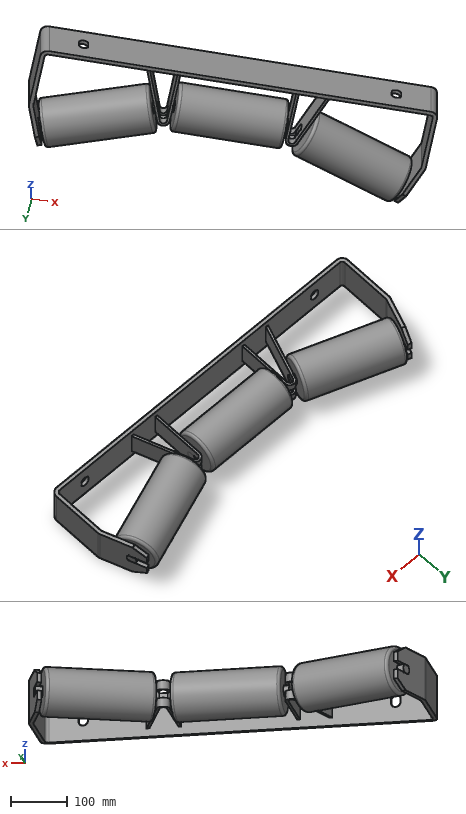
import cadquery as cq
import math

FRAME_LENGTH = 720.0
TILT = math.radians(20)

STRAP_WIDTH = 80.0
STRAP_THICKNESS = 8.0
STRAP_BEND = 14.0
LEAN_HEIGHT = 122.5
LEAN_LENGTH = 96.0
TIP_CHAMFER_LENGTH = 28.0
TIP_CHAMFER_WIDTH = 15.0

MOUNT_SLOT_OFFSET = 284.0
MOUNT_SLOT_WIDTH = 17.0
MOUNT_SLOT_LENGTH = 24.0

BRACKET_WIDTH = 50.0
BRACKET_THICKNESS = 5.0
BRACKET_BEND = 11.5

ROLLER_DIAMETER = 89.0
ROLLER_LENGTH = 200.0
ROLLER_EDGE_RADIUS = 6.0
SHAFT_DIAMETER = 20.0
SHAFT_FLAT_WIDTH = 16.0
SHAFT_SHOULDER = 2.0
SIDE_SHAFT_POSITION = 65.5
MIDDLE_ROLLER_Y = 101.0
STRAP_CLEARANCE = 6.0
BRACKET_CLEARANCE = 5.0

SIDE_ROLLER_START = STRAP_THICKNESS + STRAP_CLEARANCE
LEANING_LEG = SIDE_ROLLER_START + ROLLER_LENGTH + BRACKET_CLEARANCE
SIDE_SHAFT_LENGTH = LEANING_LEG + BRACKET_THICKNESS

UPRIGHT_LEG = ROLLER_LENGTH / 2 + BRACKET_CLEARANCE
MIDDLE_SHAFT_LENGTH = 2 * (UPRIGHT_LEG + BRACKET_THICKNESS)

UP_LEAN = cq.Vector(math.sin(TILT), math.cos(TILT), 0)
ALONG_ROLLER = cq.Vector(math.cos(TILT), -math.sin(TILT), 0)
LEAN_START = cq.Vector(-FRAME_LENGTH / 2, LEAN_HEIGHT, 0)
SIDE_SHAFT_START = LEAN_START + UP_LEAN * SIDE_SHAFT_POSITION


def side_plane(station):
    """Workplane across the left side shaft: local X up the lean, Y along global Z, Z along the shaft."""
    return cq.Workplane(cq.Plane(SIDE_SHAFT_START + ALONG_ROLLER * station, UP_LEAN, ALONG_ROLLER))


def middle_plane(station):
    """Workplane across the middle shaft: local X along global Y, Y along global Z, Z along the shaft."""
    return cq.Workplane("YZ", origin=(station, MIDDLE_ROLLER_Y, 0))


def mirrored(left):
    return left.mirror("YZ")


def bent_strip(points, width, thickness, outside_radius):
    """Flat strip, centred on Z = 0, whose mid-thickness line follows the points with rounded bends."""
    path = cq.Wire.makePolygon(points)
    path = path.fillet(outside_radius - thickness / 2, path.Vertices()[1:-1])
    start_plane = cq.Plane(points[0], (0, 0, 1), points[1] - points[0])
    return cq.Workplane(start_plane).rect(width, thickness).sweep(cq.Workplane(obj=path))


def flatted_bar(start, length):
    """Round bar of the shaft's diameter with two flats facing +Z and -Z."""
    bar = start.circle(SHAFT_DIAMETER / 2).extrude(length)
    between_flats = start.rect(SHAFT_DIAMETER, SHAFT_FLAT_WIDTH).extrude(length)
    return bar.intersect(between_flats)


def roller(plane_at, drum_start, shaft_start, shaft_length):
    """Drum with rounded rims on a shaft whose two ends have flats; plane_at gives planes across its axis."""
    drum = plane_at(drum_start).circle(ROLLER_DIAMETER / 2).extrude(ROLLER_LENGTH)
    drum = drum.edges("%CIRCLE").fillet(ROLLER_EDGE_RADIUS)
    shaft = flatted_bar(plane_at(shaft_start), shaft_length)
    round_part = plane_at(drum_start - SHAFT_SHOULDER).circle(SHAFT_DIAMETER / 2)
    round_part = round_part.extrude(ROLLER_LENGTH + 2 * SHAFT_SHOULDER)
    return shaft.union(round_part).union(drum)


def shaft_slot(plane_at, station, depth, thickness):
    """Slot for a flatted shaft end, closed by the shaft's own arc and opening along local +X."""
    seat = flatted_bar(plane_at(station), thickness)
    opening = plane_at(station).center(depth / 2, 0).rect(depth, SHAFT_FLAT_WIDTH).extrude(thickness)
    return seat.union(opening)


def strap():
    """Base strap with its upright sides and leaning ends."""
    half = STRAP_THICKNESS / 2
    side_x = FRAME_LENGTH / 2 - half
    lean_y = LEAN_HEIGHT - half * math.tan(TILT / 2)
    tip = LEAN_START + UP_LEAN * LEAN_LENGTH + ALONG_ROLLER * half
    left = [tip, cq.Vector(-side_x, lean_y, 0), cq.Vector(-side_x, half, 0)]
    right = [cq.Vector(-point.x, point.y, 0) for point in reversed(left)]
    return bent_strip(left + right, STRAP_WIDTH, STRAP_THICKNESS, STRAP_BEND)


def tip_cut():
    """Material removed from the left strap end: two corner chamfers and the open shaft slot."""
    tip = LEAN_LENGTH - SIDE_SHAFT_POSITION
    edge = STRAP_WIDTH / 2
    cut = shaft_slot(side_plane, 0, tip, STRAP_THICKNESS)
    for side in (-1, 1):
        corner = [
            (tip, side * edge),
            (tip - TIP_CHAMFER_LENGTH, side * edge),
            (tip, side * (edge - TIP_CHAMFER_WIDTH)),
        ]
        cut = cut.union(side_plane(0).polyline(corner).close().extrude(STRAP_THICKNESS))
    return cut


def mount_slots():
    return (
        cq.Workplane("XZ")
        .pushPoints([(-MOUNT_SLOT_OFFSET, 0), (MOUNT_SLOT_OFFSET, 0)])
        .slot2D(MOUNT_SLOT_LENGTH, MOUNT_SLOT_WIDTH, 90)
        .extrude(-STRAP_THICKNESS)
    )


def bracket():
    """Left folded bracket with its feet sunk to the middle of the base strap."""
    foot_y = STRAP_THICKNESS / 2
    upright_x = -(UPRIGHT_LEG + BRACKET_THICKNESS / 2)
    on_leg = SIDE_SHAFT_START + ALONG_ROLLER * (LEANING_LEG + BRACKET_THICKNESS / 2)
    fold_y = on_leg.y + (upright_x - on_leg.x) / math.tan(TILT)
    foot_x = on_leg.x + (foot_y - on_leg.y) * math.tan(TILT)
    points = [
        cq.Vector(foot_x, foot_y, 0),
        cq.Vector(upright_x, fold_y, 0),
        cq.Vector(upright_x, foot_y, 0),
    ]
    folded = bent_strip(points, BRACKET_WIDTH, BRACKET_THICKNESS, BRACKET_BEND)
    reach = fold_y - foot_y
    fold_depth = 2 * BRACKET_BEND
    leaning_slot = shaft_slot(side_plane, LEANING_LEG, reach, fold_depth)
    upright_slot = shaft_slot(middle_plane, -UPRIGHT_LEG - BRACKET_THICKNESS, reach, BRACKET_THICKNESS)
    return folded.cut(leaning_slot).cut(upright_slot)


def middle_roller():
    """Roller whose shaft ends are fixed in the upright legs of the two brackets."""
    return roller(middle_plane, -ROLLER_LENGTH / 2, -MIDDLE_SHAFT_LENGTH / 2, MIDDLE_SHAFT_LENGTH)


def make_frame():
    """Strap, brackets and middle roller joined as one body."""
    left_bracket = bracket()
    left_cut = tip_cut()
    frame = strap().cut(left_cut).cut(mirrored(left_cut)).cut(mount_slots())
    frame = frame.union(left_bracket).union(mirrored(left_bracket))
    return frame.union(middle_roller(), clean=False)


def make_side_roller(side):
    """Side roller, on the left (-1) or right (1), with its shaft ends in a strap slot and a leaning leg."""
    left_roller = roller(side_plane, SIDE_ROLLER_START, 0, SIDE_SHAFT_LENGTH)
    return left_roller if side < 0 else mirrored(left_roller)


frame = make_frame()
side_rollers = [make_side_roller(side) for side in (-1, 1)]

result = cq.Compound.makeCompound([frame.val(), *[side_roller.val() for side_roller in side_rollers]])